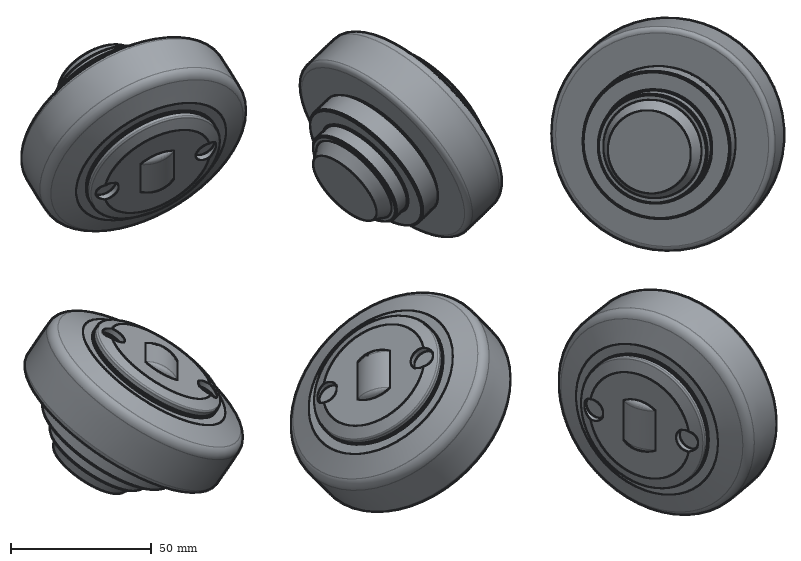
import cadquery as cq
import math

stub_end = 0.0
collar_start = 4.9
flange_start = 11.1
flange_end = 20.05
tyre_start = 20.45
tyre_shoulder = 36.7
tyre_end = 43.6
cap_start = 44.2
cap_shoulder = 46.1
cap_face = 48.5
overall_length = 50.5

stub_tip_radius = 15.1
stub_root_radius = 17.9
collar_radius = 40.0 / 2
flange_radius = 54 / 2
neck_radius = 52.0 / 2
tyre_radius = 40.9
tyre_edge_radius = 40.8
tyre_face_radius = 29.85
cap_radius = 52.0 / 2
cap_face_radius = 21.1

collar_chamfer = 0.5
flange_chamfer = 0.5
cap_chamfer = 0.4
collar_relief = 0.4
tyre_rounding = 2.0
tyre_shoulder_rounding = 3.9
cap_rounding = 0.7
bevel_angle = 69.0

spanner_hole_diameter = 8.6
spanner_hole_offset = 19.6
spanner_hole_depth = 2.45

bar_width = 14.2
bar_straight_length = 16.1
bar_embed = 0.25
bar_height = overall_length - cap_face + bar_embed


def rounding_point(x, radius, rounding, angle):
    """Point on a rounding that starts level at (x, radius), after turning by angle degrees."""
    turn = math.radians(angle)
    return (x + rounding * math.sin(turn), radius - rounding * (1 - math.cos(turn)))


def stub_and_flange():
    relief_start = flange_start - collar_relief
    return (
        cq.Workplane("XY")
        .moveTo(stub_end, 0)
        .lineTo(stub_end, stub_tip_radius)
        .lineTo(collar_start, stub_root_radius)
        .lineTo(collar_start, collar_radius - collar_chamfer)
        .lineTo(collar_start + collar_chamfer, collar_radius)
        .lineTo(relief_start, collar_radius)
        .lineTo(flange_start, collar_radius + collar_relief)
        .lineTo(flange_start, flange_radius - flange_chamfer)
        .lineTo(flange_start + flange_chamfer, flange_radius)
        .lineTo(flange_end - flange_chamfer, flange_radius)
        .lineTo(flange_end, flange_radius - flange_chamfer)
        .lineTo(flange_end, neck_radius)
        .lineTo(tyre_start, neck_radius)
        .lineTo(tyre_start, 0)
        .close()
        .revolve(360, (0, 0, 0), (1, 0, 0))
    )


def tyre():
    crown_start = tyre_start + tyre_rounding
    crown_middle = (crown_start + tyre_shoulder) / 2
    side_middle = (
        crown_start - tyre_rounding * math.sqrt(0.5),
        tyre_edge_radius - tyre_rounding * (1 - math.sqrt(0.5)),
    )
    shoulder = (tyre_shoulder, tyre_edge_radius, tyre_shoulder_rounding)
    return (
        cq.Workplane("XY")
        .moveTo(tyre_start, 0)
        .lineTo(tyre_start, tyre_edge_radius - tyre_rounding)
        .threePointArc(side_middle, (crown_start, tyre_edge_radius))
        .threePointArc((crown_middle, tyre_radius), (tyre_shoulder, tyre_edge_radius))
        .threePointArc(rounding_point(*shoulder, bevel_angle / 2), rounding_point(*shoulder, bevel_angle))
        .lineTo(tyre_end, tyre_face_radius)
        .lineTo(tyre_end, 0)
        .close()
        .revolve(360, (0, 0, 0), (1, 0, 0))
    )


def cap():
    shoulder = (cap_shoulder, cap_radius, cap_rounding)
    return (
        cq.Workplane("XY")
        .moveTo(tyre_end, 0)
        .lineTo(tyre_end, neck_radius)
        .lineTo(cap_start, neck_radius)
        .lineTo(cap_start, cap_radius - cap_chamfer)
        .lineTo(cap_start + cap_chamfer, cap_radius)
        .lineTo(cap_shoulder, cap_radius)
        .threePointArc(rounding_point(*shoulder, bevel_angle / 2), rounding_point(*shoulder, bevel_angle))
        .lineTo(cap_face, cap_face_radius)
        .lineTo(cap_face, 0)
        .close()
        .revolve(360, (0, 0, 0), (1, 0, 0))
    )


def spanner_holes():
    return (
        cq.Workplane("YZ", origin=(cap_face - spanner_hole_depth, 0, 0))
        .pushPoints([(-spanner_hole_offset, 0), (spanner_hole_offset, 0)])
        .circle(spanner_hole_diameter / 2)
        .extrude(spanner_hole_depth)
    )


def bar_section(z):
    """Domed cross-section of the raised bar, based just below the cap face at height z."""
    return (
        cq.Workplane("XY", origin=(cap_face - bar_embed, 0, z))
        .moveTo(0, -bar_width / 2)
        .threePointArc((bar_height, 0), (0, bar_width / 2))
        .close()
    )


def raised_bar():
    half_length = bar_straight_length / 2
    bar = bar_section(-half_length).extrude(bar_straight_length)
    for z in (-half_length, half_length):
        bar = bar.union(bar_section(z).revolve(360, (0, 0, 0), (0, 1, 0)))
    return bar


result = stub_and_flange().union(tyre()).union(cap()).cut(spanner_holes()).union(raised_bar())